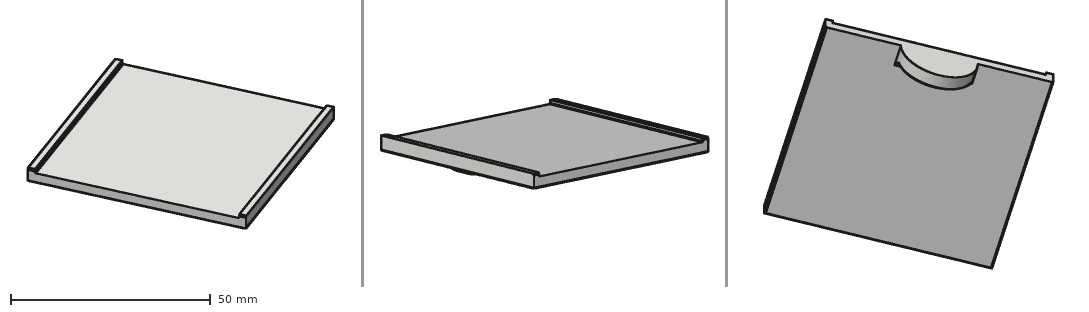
import cadquery as cq

plate_width = 59.35
plate_depth = 56.7
floor_thickness = 2.95
rail_height = 1.0
rail_width = 1.9
rail_lead_in_drop = 0.5
rail_lead_in_run = 0.3
rail_foot_size = 0.25
bottom_chamfer = 0.35

tab_drop = 10.05
tab_thickness = 4.0
tab_chamfer = 0.4
gusset_size = 2.0

half_width = plate_width / 2
back_y = plate_depth / 2
rail_top = floor_thickness + rail_height


def make_plate():
    """Flat plate with its underside chamfered along the front and both sides."""
    plate = cq.Workplane("XY").box(
        plate_width, plate_depth, floor_thickness, centered=(True, True, False)
    )
    return plate.faces("<Z").edges("<X or >X or <Y").chamfer(bottom_chamfer)


def make_rail(side):
    """Side rail with a 45 degree foot inside and a sloped front end; side is -1 or 1."""
    outer_x = side * half_width
    inner_x = side * (half_width - rail_width)
    foot_x = inner_x - side * rail_foot_size
    rail = (
        cq.Workplane("XZ", origin=(0, back_y, 0))
        .polyline([
            (outer_x, floor_thickness),
            (foot_x, floor_thickness),
            (inner_x, floor_thickness + rail_foot_size),
            (inner_x, rail_top),
            (outer_x, rail_top),
        ])
        .close()
        .extrude(plate_depth)
    )
    return rail.faces("<Y").edges(">Z").chamfer(rail_lead_in_run, rail_lead_in_drop)


def half_disc(length):
    """Lower half of a cylinder reaching forward from the back face."""
    return (
        cq.Workplane("XZ", origin=(0, back_y, 0))
        .moveTo(-tab_drop, 0)
        .threePointArc((0, -tab_drop), (tab_drop, 0))
        .close()
        .extrude(length)
    )


def make_tab():
    """Half-round tab with a chamfered front rim and a 45 degree gusset under the plate."""
    disc = half_disc(tab_thickness).faces("<Y").edges("%CIRCLE").chamfer(tab_chamfer)
    tab_front = back_y - tab_thickness
    gusset_back = tab_front + gusset_size
    wedge = (
        cq.Workplane("YZ", origin=(-tab_drop, 0, 0))
        .polyline([
            (tab_front - gusset_size, 0),
            (gusset_back, -2 * gusset_size),
            (gusset_back, 0),
        ])
        .close()
        .extrude(2 * tab_drop)
    )
    gusset = half_disc(tab_thickness + gusset_size).intersect(wedge)
    return disc.union(gusset)


result = make_plate().union(make_tab())
for rail_side in (-1, 1):
    result = result.union(make_rail(rail_side))